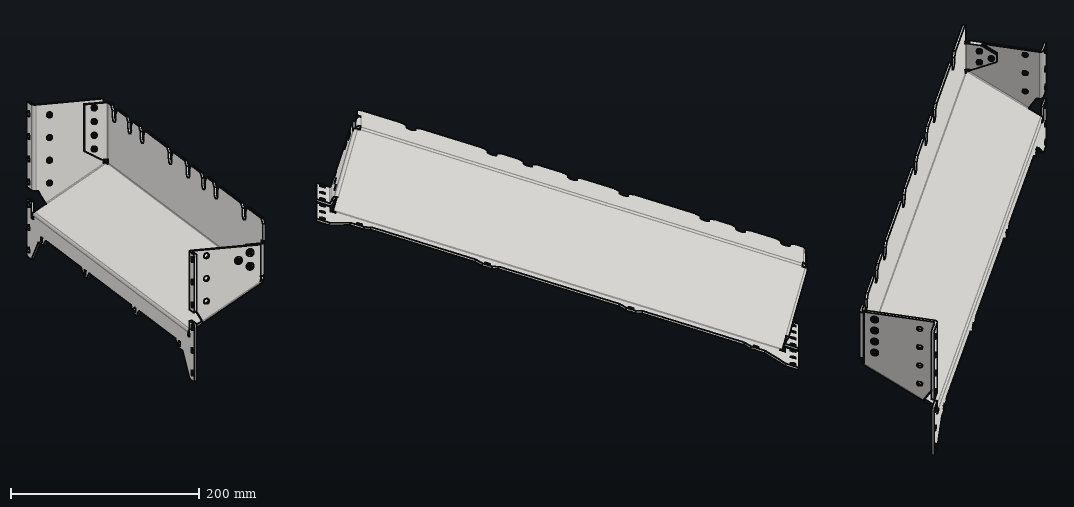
import cadquery as cq
import math

overall_width = 538.0
overall_depth = 86.5
overall_height = 171.0
sheet = 3.0
bend_inner = 1.0
bend_outer = bend_inner + sheet

inner_width = 501.5
half_inner = inner_width / 2
half_outer = half_inner + sheet
half_overall = overall_width / 2
half_flat = half_inner - bend_inner
half_back = half_inner - bend_outer
floor_angle = math.radians(30)
slope = math.tan(floor_angle)
floor_drop = sheet / math.cos(floor_angle)
floor_front_z = 52.5
back_top = 167.5
back_inner_y = overall_depth - sheet

flange_ear_top = 64.0
flange_edge_z = 33.0
lug_bottom_z = 25.5
lug_half_width = 5.5
lug_rise = flange_edge_z - lug_bottom_z
lug_hole_z = 30.5
end_lug_x = 221.0
middle_lugs_x = (-82.0, 78.5)
foot_inner_x = 254.5
foot_top_x = 231.5
slot_inner_x = 248.0
slot_outer_x = half_outer
slot_bottom_z = 46.0
nose_bottom_z = 48.5

ear_bottom_z = 76.5
right_top = 140.5
panel_back_y = 80.0
panel_front_y = 15.0
strip_back_y = 83.0
hole_pitch = 25.0
hole_first_z = 8.5
ear_hole_inset = 6.5
ear_hole_x = half_overall - ear_hole_inset
hole_diameter = 6.0
panel_hole_y = 19.5
ear_corner_radius = 2.0
lower_ear_holes = 3
left_ear_holes = 4
right_ear_holes = 3

notch_width = 10.0
notch_depth = 16.0
top_chamfer = 5.0
notch_groups_x = (-227.0, 10.0)
notch_offsets = (0.0, 50.0, 90.0, 180.0)

left_tab_front_y = 58.0
right_tab_front_y = 49.5
right_tab_shoulder_y = 66.0
left_tab_corner_z = 115.5
right_tab_corner_z = 121.0
tab_bottom_z = 105.0
tab_relief = 2.5

left_rivet_count = 4
rivet_pitch = 15.0
rivet_y = 68.5
rivet_low_z = 118.0
rivet_hole_diameter = 4.1
rivet_shank_diameter = 4.0
rivet_head_diameter = 8.0
rivet_tail_diameter = 6.0
rivet_bore_diameter = 2.0
rivet_head_height = 0.5
rivet_tail_height = 1.5
left_rivets = [(rivet_y, rivet_low_z + i * rivet_pitch) for i in range(left_rivet_count)]
triangle_depth = rivet_pitch * math.sqrt(0.75)
right_rivets = [
    (rivet_y, rivet_low_z),
    (rivet_y, rivet_low_z + rivet_pitch),
    (rivet_y - triangle_depth, rivet_low_z + rivet_pitch / 2),
]


def floor_z(y):
    """Height of the upper floor plane."""
    return floor_front_z + slope * y


def yz_prism(points, x_start, x_end):
    """Outline in Y, Z extruded along X."""
    return cq.Workplane("YZ").workplane(offset=x_start).polyline(points).close().extrude(x_end - x_start)


def x_cylinder(y, z, diameter, x_start, x_end):
    return cq.Workplane("YZ", origin=(x_start, y, z)).circle(diameter / 2).extrude(x_end - x_start)


def sheet_holes(points):
    """Hole cutters through the front sheet at X, Z points."""
    drill = cq.Workplane("XZ", origin=(0, 2 * sheet, 0)).pushPoints(points)
    return drill.circle(hole_diameter / 2).extrude(4 * sheet)


def round_bend(solid, inner_point, outer_point):
    """Round both edges of one sharp fold."""
    solid = solid.edges(cq.NearestToPointSelector(inner_point)).fillet(bend_inner)
    return solid.edges(cq.NearestToPointSelector(outer_point)).fillet(bend_outer)


def ear_hole_heights(count, first):
    """Heights of consecutive holes in the evenly spaced row up each ear."""
    return [hole_first_z + hole_pitch * (first + i) for i in range(count)]


def folded_section(half_width):
    """Back wall, floor and front flange, folded about the X direction."""
    inner_flange_z = floor_z(sheet) - floor_drop
    outer_back_z = floor_z(overall_depth) - floor_drop
    inner_back_z = floor_z(back_inner_y)
    section = yz_prism(
        [
            (0, flange_edge_z),
            (0, floor_front_z),
            (back_inner_y, inner_back_z),
            (back_inner_y, back_top),
            (overall_depth, back_top),
            (overall_depth, outer_back_z),
            (sheet, inner_flange_z),
            (sheet, flange_edge_z),
        ],
        -half_width,
        half_width,
    )
    section = round_bend(section, (0, sheet, inner_flange_z), (0, 0, floor_front_z))
    return round_bend(section, (0, back_inner_y, inner_back_z), (0, overall_depth, outer_back_z))


def front_flange():
    """Flat flange with its end feet and lower lugs."""
    outline = [
        (-half_overall, 0),
        (-half_overall, flange_ear_top),
        (-slot_outer_x, flange_ear_top),
        (-slot_outer_x, slot_bottom_z),
        (-slot_inner_x, slot_bottom_z),
        (-slot_inner_x, nose_bottom_z),
        (slot_inner_x, nose_bottom_z),
        (slot_inner_x, slot_bottom_z),
        (slot_outer_x, slot_bottom_z),
        (slot_outer_x, flange_ear_top),
        (half_overall, flange_ear_top),
        (half_overall, 0),
        (foot_inner_x, 0),
        (foot_top_x, lug_bottom_z),
        (end_lug_x - lug_half_width, lug_bottom_z),
        (end_lug_x - lug_half_width - lug_rise, flange_edge_z),
    ]
    for x in reversed(middle_lugs_x):
        outline += [
            (x + lug_half_width + lug_rise, flange_edge_z),
            (x + lug_half_width, lug_bottom_z),
            (x - lug_half_width, lug_bottom_z),
            (x - lug_half_width - lug_rise, flange_edge_z),
        ]
    outline += [
        (-end_lug_x + lug_half_width + lug_rise, flange_edge_z),
        (-end_lug_x + lug_half_width, lug_bottom_z),
        (-foot_top_x, lug_bottom_z),
        (-foot_inner_x, 0),
    ]
    plate = cq.Workplane("XZ").polyline(outline).close().extrude(-sheet)
    plate = plate.edges("|Y").edges("<X or >X").fillet(ear_corner_radius)
    ear_points = [(side * ear_hole_x, z) for side in (-1, 1) for z in ear_hole_heights(lower_ear_holes, 0)]
    lug_points = [(x, lug_hole_z) for x in (-end_lug_x, *middle_lugs_x, end_lug_x)]
    plate = plate.cut(sheet_holes(ear_points))
    return plate.cut(sheet_holes(lug_points))


def across_floor(y):
    """Upper and lower ends of a line through the floor, square to it, from its upper plane at y."""
    return (y, floor_z(y)), (y + sheet * math.sin(floor_angle), floor_z(y) - sheet * math.cos(floor_angle))


def floor_margins():
    """Floor edges outside the back wall's width: beside the bends, and wider in front of them."""
    front_upper, front_lower = across_floor(panel_front_y)
    back_upper, back_lower = across_floor(strip_back_y)
    beside_bends = yz_prism(
        [front_upper, front_lower, back_lower, back_upper], -half_flat, half_flat
    )
    front_region = yz_prism(
        [(0, nose_bottom_z), (0, front_upper[1]), front_upper, front_lower, (sheet, nose_bottom_z)],
        -half_inner,
        half_inner,
    )
    return beside_bends.union(folded_section(half_inner).intersect(front_region))


def floor_bend():
    """Quarter bend joining the floor to the right-hand panel."""
    length = (strip_back_y - panel_front_y) / math.cos(floor_angle)
    rear_plane = cq.Plane(
        origin=(half_flat, strip_back_y, floor_z(strip_back_y)),
        xDir=(1, 0, 0),
        normal=(0, -math.cos(floor_angle), -math.sin(floor_angle)),
    )
    inner_mid = bend_inner * math.sqrt(0.5)
    outer_mid = bend_outer * math.sqrt(0.5)
    return (
        cq.Workplane(rear_plane)
        .threePointArc((inner_mid, bend_inner - inner_mid), (bend_inner, bend_inner))
        .lineTo(bend_outer, bend_inner)
        .threePointArc((outer_mid, bend_inner - outer_mid), (0, -sheet))
        .close()
        .extrude(length)
    )


def side_panel(top, ear_holes):
    """Right-hand panel with its outward ear, above the floor bend."""
    fold = (
        cq.Workplane("XY")
        .polyline(
            [
                (half_inner, 0),
                (half_overall, 0),
                (half_overall, sheet),
                (half_outer, sheet),
                (half_outer, panel_back_y),
                (half_inner, panel_back_y),
            ]
        )
        .close()
        .extrude(top)
    )
    fold = round_bend(fold, (half_outer, sheet, top / 2), (half_inner, 0, top / 2))
    tangent_y = panel_front_y - bend_inner * math.sin(floor_angle)
    tangent_z = floor_z(panel_front_y) + bend_inner * math.cos(floor_angle)
    profile = yz_prism(
        [
            (0, top),
            (0, ear_bottom_z),
            (tangent_y - (ear_bottom_z - tangent_z) * slope, ear_bottom_z),
            (tangent_y, tangent_z),
            (panel_back_y, tangent_z + (panel_back_y - tangent_y) * slope),
            (panel_back_y, top),
        ],
        half_inner,
        half_overall,
    )
    panel = fold.intersect(profile)
    panel = panel.edges("|Y").edges(">X").fillet(ear_corner_radius)
    heights = ear_hole_heights(ear_holes, lower_ear_holes)
    panel = panel.cut(sheet_holes([(ear_hole_x, z) for z in heights]))
    for z in heights:
        panel = panel.cut(x_cylinder(panel_hole_y, z, hole_diameter, half_inner, half_outer))
    return panel


def back_tab(profile_points):
    """Right-hand tab folded forward from the back wall, against the panel's inner face."""
    inside_x = half_inner - sheet
    wall_x = half_back - sheet
    fold = (
        cq.Workplane("XY")
        .polyline(
            [
                (wall_x, back_inner_y),
                (inside_x, back_inner_y),
                (inside_x, 0),
                (half_inner, 0),
                (half_inner, overall_depth),
                (wall_x, overall_depth),
            ]
        )
        .close()
        .extrude(back_top)
    )
    mid_z = back_top / 2
    fold = round_bend(fold, (inside_x, back_inner_y, mid_z), (half_inner, overall_depth, mid_z))
    return fold.intersect(yz_prism(profile_points, half_back, half_inner))


def tab_underside(front_y, corner_z):
    """Lower edge of a tab, falling toward the back wall at the floor angle, then level."""
    level_y = front_y + (corner_z - tab_bottom_z) / slope
    return [(front_y, corner_z), (level_y, tab_bottom_z), (overall_depth, tab_bottom_z)]


def left_tab():
    top_edge = [(overall_depth, back_top), (left_tab_front_y, back_top)]
    return back_tab(top_edge + tab_underside(left_tab_front_y, left_tab_corner_z))


def right_tab():
    shoulder_drop = (right_tab_shoulder_y - right_tab_front_y) * slope
    top_edge = [
        (overall_depth, right_top),
        (right_tab_shoulder_y, right_top),
        (right_tab_front_y, right_top - shoulder_drop),
    ]
    return back_tab(top_edge + tab_underside(right_tab_front_y, right_tab_corner_z))


def back_wall_plate(points):
    """Flat piece of the back wall with an X, Z outline."""
    return cq.Workplane("XZ", origin=(0, overall_depth, 0)).polyline(points).close().extrude(sheet)


def right_back_corner():
    """Flat end of the back wall above the right tab."""
    bottom = right_top + tab_relief
    return back_wall_plate(
        [(half_back, bottom), (half_inner, bottom), (half_inner, back_top), (half_back, back_top)]
    )


def corner_chamfer():
    """Cutter for the top right corner of the back wall."""
    return back_wall_plate(
        [
            (half_inner, back_top - top_chamfer),
            (half_inner, back_top),
            (half_inner - top_chamfer, back_top),
        ]
    )


def notch(x):
    """Round-bottomed notch with chamfered mouth."""
    half = notch_width / 2
    arc_z = back_top - notch_depth + half
    return (
        cq.Workplane("XZ", origin=(x, overall_depth, 0))
        .moveTo(-half - top_chamfer, back_top)
        .lineTo(-half, back_top - top_chamfer)
        .lineTo(-half, arc_z)
        .threePointArc((0, back_top - notch_depth), (half, arc_z))
        .lineTo(half, back_top - top_chamfer)
        .lineTo(half + top_chamfer, back_top)
        .close()
        .extrude(sheet)
    )


def side(panel, tab, rivet_points):
    """Right-hand side: floor bend, panel and tab, drilled for the rivets."""
    body = floor_bend().union(panel).union(tab)
    for y, z in rivet_points:
        body = body.cut(x_cylinder(y, z, rivet_hole_diameter, half_back, half_outer))
    return body


def make_tray():
    right_side = side(side_panel(right_top, right_ear_holes), right_tab(), right_rivets)
    left_side = side(side_panel(overall_height, left_ear_holes), left_tab(), left_rivets).mirror("YZ")
    tray = folded_section(half_back).union(floor_margins()).union(front_flange())
    tray = tray.union(right_side).union(left_side).union(right_back_corner())
    tray = tray.cut(corner_chamfer())
    for start in notch_groups_x:
        for offset in notch_offsets:
            tray = tray.cut(notch(start + offset))
    return tray


def make_rivet(y, z):
    """Right-hand rivet, its head outside the panel and its tail inside the tab."""
    tail_x = half_inner - sheet
    tail_end_x = tail_x - rivet_tail_height
    head_end_x = half_outer + rivet_head_height
    shank = x_cylinder(y, z, rivet_shank_diameter, tail_x, half_outer)
    head = x_cylinder(y, z, rivet_head_diameter, half_outer, head_end_x)
    tail = x_cylinder(y, z, rivet_tail_diameter, tail_end_x, tail_x)
    bore = x_cylinder(y, z, rivet_bore_diameter, tail_end_x, head_end_x)
    return shank.union(head).union(tail).cut(bore)


tray = make_tray()
rivets = [make_rivet(y, z) for y, z in right_rivets]
rivets += [make_rivet(y, z).mirror("YZ") for y, z in left_rivets]

result = cq.Compound.makeCompound([tray.val(), *[rivet.val() for rivet in rivets]])